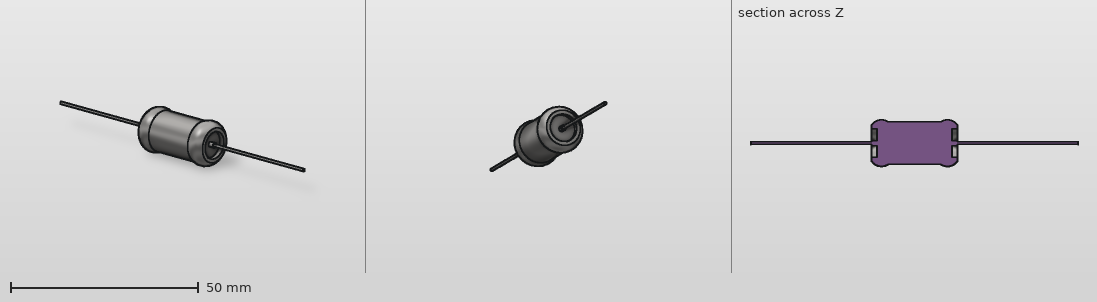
import cadquery as cq

overall_length = 87.0
lead_diameter = 0.81

body_length = 23.0
sleeve_diameter = 11.4
cap_length = 4.5
cap_diameter = 12.5
cap_face_diameter = 9.6
cap_peak_setback = 2.6

recess_diameter = 7.5
recess_depth = 1.5
collar_diameter = 1.5
collar_length = recess_depth

half_body = body_length / 2
recess_floor = half_body - recess_depth


def rod(diameter, start_x, end_x):
    """Round bar on the X axis between two X positions."""
    return cq.Workplane("YZ", origin=(start_x, 0, 0)).circle(diameter / 2).extrude(end_x - start_x)


def body_blank():
    """Sleeve and both bulged caps, revolved about the X axis."""
    sleeve_end = half_body - cap_length
    peak_x = half_body - cap_peak_setback
    sleeve_radius = sleeve_diameter / 2
    peak_radius = cap_diameter / 2
    face_radius = cap_face_diameter / 2
    return (
        cq.Workplane("XY")
        .moveTo(-half_body, 0)
        .lineTo(-half_body, face_radius)
        .threePointArc((-peak_x, peak_radius), (-sleeve_end, sleeve_radius))
        .lineTo(sleeve_end, sleeve_radius)
        .threePointArc((peak_x, peak_radius), (half_body, face_radius))
        .lineTo(half_body, 0)
        .close()
        .revolve(360, (0, 0, 0), (1, 0, 0))
    )


result = body_blank()

for side in (-1, 1):
    recess = rod(recess_diameter, side * recess_floor, side * half_body)
    collar = rod(collar_diameter, side * recess_floor, side * (recess_floor + collar_length))
    result = result.cut(recess).union(collar)

result = result.union(rod(lead_diameter, -overall_length / 2, overall_length / 2))